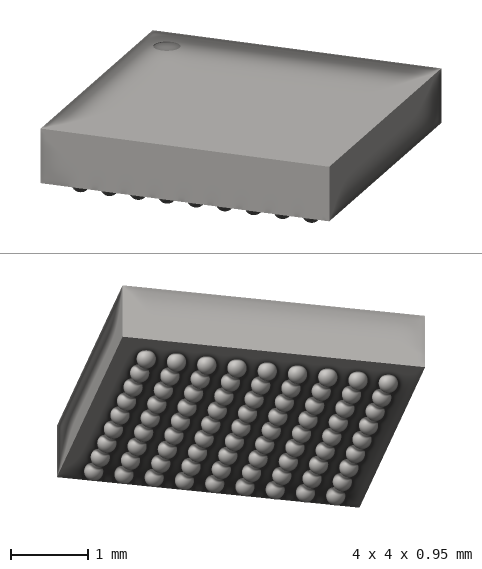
import cadquery as cq

BODY_SIDE = 4.0
BODY_HEIGHT = 0.75

BALLS_PER_SIDE = 9
BALL_PITCH = 0.4
BALL_DIAMETER = 0.25
BALL_STANDOFF = 0.2

MARK_DIAMETER = 0.35
MARK_DEPTH = 0.01
MARK_X = -1.61
MARK_Y = 1.5

BODY_BOTTOM = BALL_STANDOFF
BODY_TOP = BODY_BOTTOM + BODY_HEIGHT


def make_body():
    """Square block resting on top of the solder balls."""
    return (
        cq.Workplane("XY")
        .workplane(offset=BODY_BOTTOM)
        .rect(BODY_SIDE, BODY_SIDE)
        .extrude(BODY_HEIGHT)
    )


def ball_positions():
    """Centres of the square ball grid, centred on the body."""
    first = -BALL_PITCH * (BALLS_PER_SIDE - 1) / 2
    offsets = [first + i * BALL_PITCH for i in range(BALLS_PER_SIDE)]
    return [(x, y) for x in offsets for y in offsets]


def make_ball(x, y):
    """Sphere standing on Z = 0, cut flat where it meets the body."""
    radius = BALL_DIAMETER / 2
    flat_radius = (radius**2 - (BALL_STANDOFF - radius) ** 2) ** 0.5
    profile = (
        cq.Workplane("XZ")
        .moveTo(0, 0)
        .threePointArc((radius, radius), (flat_radius, BALL_STANDOFF))
        .lineTo(0, BALL_STANDOFF)
        .close()
    )
    ball = profile.revolve(axisStart=(0, 0, 0), axisEnd=(0, 1, 0))
    return ball.translate((x, y, 0)).val()


def make_pin_one_mark():
    """Thin disc removed from the top face to mark pin 1."""
    return (
        cq.Workplane("XY")
        .workplane(offset=BODY_TOP - MARK_DEPTH)
        .center(MARK_X, MARK_Y)
        .circle(MARK_DIAMETER / 2)
        .extrude(MARK_DEPTH)
    )


body = make_body().cut(make_pin_one_mark())
balls = [make_ball(x, y) for x, y in ball_positions()]
result = cq.Workplane("XY").newObject([body.val().fuse(*balls)])